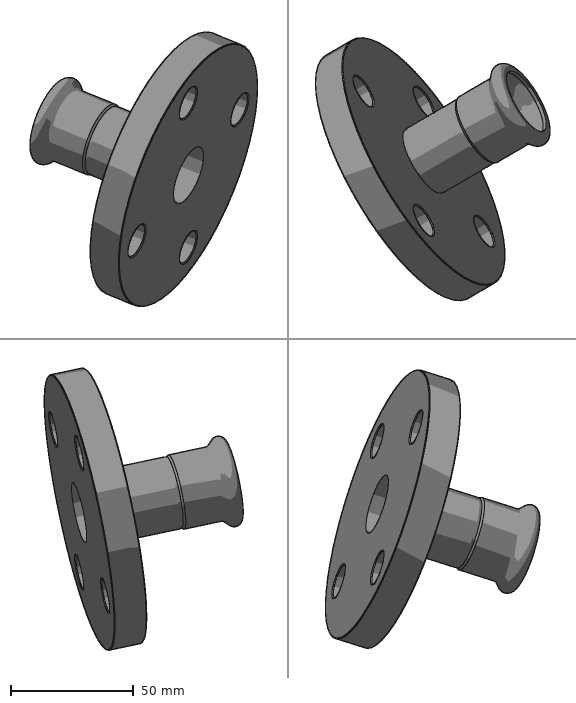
import cadquery as cq
import math

total_length = 65.0

flange_radius = 57.5
flange_thickness = 13.8
flange_chamfer = 0.3
flange_face_x = total_length - flange_thickness
bolt_count = 4
bolt_circle_radius = 42.5
bolt_hole_diameter = 14.0
bolt_hole_chamfer = 0.5

sleeve_radius = 15.5
sheet_thickness = 1.5
sleeve_bore_radius = sleeve_radius - sheet_thickness
bead_radius = 3.0
bead_center_x = bead_radius
bead_center_radius = 15.9
bead_cone_angle = math.radians(45)
sleeve_blend_radius = 1.8
sleeve_end_x = 24.6
sleeve_chamfer_length = 0.6
sleeve_chamfer_depth = 0.3

shank_radius = 15.1
shank_bore_radius = 12.4
shank_chamfer_length = 1.0
shank_groove_diameter = 29.8
shank_groove_radius = shank_groove_diameter / 2
shank_start_x = 25.0
shank_end_taper_length = 0.8


def bead_point(arc_radius, angle):
    """Point on a bead arc; the angle is measured from the +X direction."""
    return (
        bead_center_x + arc_radius * math.cos(angle),
        bead_center_radius + arc_radius * math.sin(angle),
    )


def bead_to_sleeve(arc_radius, wall_radius, blend_radius):
    """Cone start, blend start, blend middle and blend end behind the bead."""
    cone_start = bead_point(arc_radius, math.pi / 2 - bead_cone_angle)
    blend_center_radius = wall_radius + blend_radius
    blend_start_radius = blend_center_radius - blend_radius * math.cos(bead_cone_angle)
    blend_start_x = cone_start[0] + (cone_start[1] - blend_start_radius) / math.tan(bead_cone_angle)
    blend_center_x = blend_start_x + blend_radius * math.sin(bead_cone_angle)
    blend_middle = (
        blend_center_x - blend_radius * math.sin(bead_cone_angle / 2),
        blend_center_radius - blend_radius * math.cos(bead_cone_angle / 2),
    )
    return cone_start, (blend_start_x, blend_start_radius), blend_middle, (blend_center_x, wall_radius)


def revolve_about_x(profile):
    return profile.close().revolve(360, (0, 0, 0), (1, 0, 0))


def make_outer_body():
    cone_start, blend_start, blend_middle, blend_end = bead_to_sleeve(
        bead_radius, sleeve_radius, sleeve_blend_radius
    )
    profile = (
        cq.Workplane("XY")
        .lineTo(*bead_point(bead_radius, math.pi))
        .threePointArc(bead_point(bead_radius, math.pi / 2), cone_start)
        .lineTo(*blend_start)
        .threePointArc(blend_middle, blend_end)
        .lineTo(sleeve_end_x - sleeve_chamfer_length, sleeve_radius)
        .lineTo(sleeve_end_x, sleeve_radius - sleeve_chamfer_depth)
        .lineTo(shank_start_x, shank_groove_radius)
        .lineTo(shank_start_x + shank_chamfer_length, shank_radius)
        .lineTo(flange_face_x - shank_end_taper_length, shank_radius)
        .lineTo(flange_face_x, shank_groove_radius)
        .lineTo(flange_face_x, flange_radius - flange_chamfer)
        .lineTo(flange_face_x + flange_chamfer, flange_radius)
        .lineTo(total_length - flange_chamfer, flange_radius)
        .lineTo(total_length, flange_radius - flange_chamfer)
        .lineTo(total_length, 0)
    )
    return revolve_about_x(profile)


def make_bore():
    """Mouth, groove inside the bead, sleeve socket and the narrower through bore."""
    groove_radius = bead_radius - sheet_thickness
    cone_start, blend_start, blend_middle, blend_end = bead_to_sleeve(
        groove_radius, sleeve_bore_radius, sleeve_blend_radius + sheet_thickness
    )
    groove_wall = bead_point(groove_radius, math.pi)
    profile = (
        cq.Workplane("XY")
        .lineTo(0, sleeve_bore_radius)
        .lineTo(groove_wall[0], sleeve_bore_radius)
        .lineTo(*groove_wall)
        .threePointArc(bead_point(groove_radius, math.pi / 2), cone_start)
        .lineTo(*blend_start)
        .threePointArc(blend_middle, blend_end)
        .lineTo(sleeve_end_x, sleeve_bore_radius)
        .lineTo(sleeve_end_x, shank_bore_radius)
        .lineTo(total_length, shank_bore_radius)
        .lineTo(total_length, 0)
    )
    return revolve_about_x(profile)


def make_bolt_holes():
    """Through holes, chamfered at both flange faces."""
    hole_radius = bolt_hole_diameter / 2
    mouth_radius = hole_radius + bolt_hole_chamfer
    hole = (
        cq.Workplane("XY")
        .moveTo(flange_face_x, 0)
        .lineTo(flange_face_x, mouth_radius)
        .lineTo(flange_face_x + bolt_hole_chamfer, hole_radius)
        .lineTo(total_length - bolt_hole_chamfer, hole_radius)
        .lineTo(total_length, mouth_radius)
        .lineTo(total_length, 0)
    )
    hole = revolve_about_x(hole).translate((0, bolt_circle_radius, 0))
    holes = cq.Workplane("XY")
    for index in range(bolt_count):
        angle = index * 360 / bolt_count
        holes = holes.add(hole.rotate((0, 0, 0), (1, 0, 0), angle))
    return holes.combine()


result = make_outer_body().cut(make_bore()).cut(make_bolt_holes())